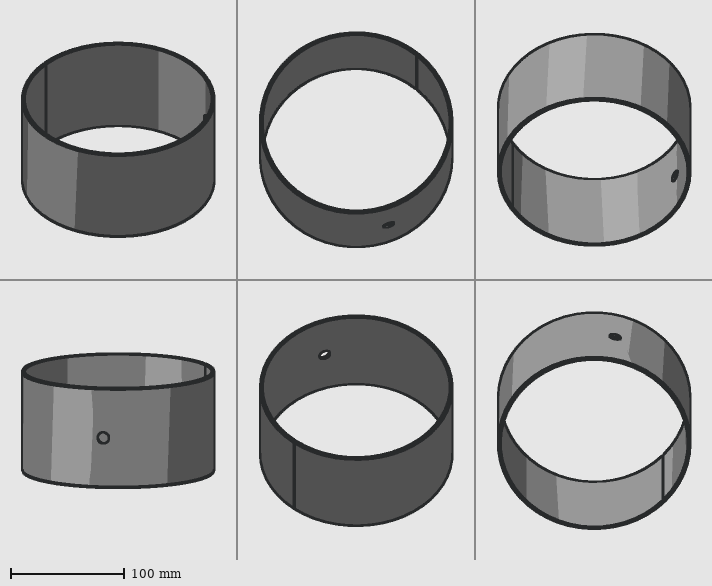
import cadquery as cq

outer_diameter = 170.0
outer_radius = outer_diameter / 2
height = 90.0
wall = 2.5
inner_radius = outer_radius - wall

outer_chamfer_height = 1.5
outer_chamfer_width = 0.7
inner_chamfer = 0.8

gap_width = 1.5

hole_diameter = 10.0
hole_angle = 59.3


def sleeve():
    """Revolve the chamfered wall section about Z."""
    half_height = height / 2
    section = (
        cq.Workplane("XZ")
        .moveTo(inner_radius + inner_chamfer, -half_height)
        .lineTo(outer_radius - outer_chamfer_width, -half_height)
        .lineTo(outer_radius, -half_height + outer_chamfer_height)
        .lineTo(outer_radius, half_height - outer_chamfer_height)
        .lineTo(outer_radius - outer_chamfer_width, half_height)
        .lineTo(inner_radius + inner_chamfer, half_height)
        .lineTo(inner_radius, half_height - inner_chamfer)
        .lineTo(inner_radius, -half_height + inner_chamfer)
        .close()
    )
    return section.revolve(360, (0, 0, 0), (0, 1, 0))


def joint_gap():
    """Slab that splits the wall over its full height on the -X side."""
    return cq.Workplane("XY").box(
        outer_diameter, gap_width, 2 * height, centered=(True, False, True)
    ).translate((-outer_radius, 0, 0))


def oil_hole():
    """Radial cylinder at mid height, reaching from the axis through one wall."""
    cylinder = cq.Workplane("YZ").circle(hole_diameter / 2).extrude(outer_diameter)
    return cylinder.rotate((0, 0, 0), (0, 0, 1), hole_angle)


result = sleeve().cut(joint_gap()).cut(oil_hole())